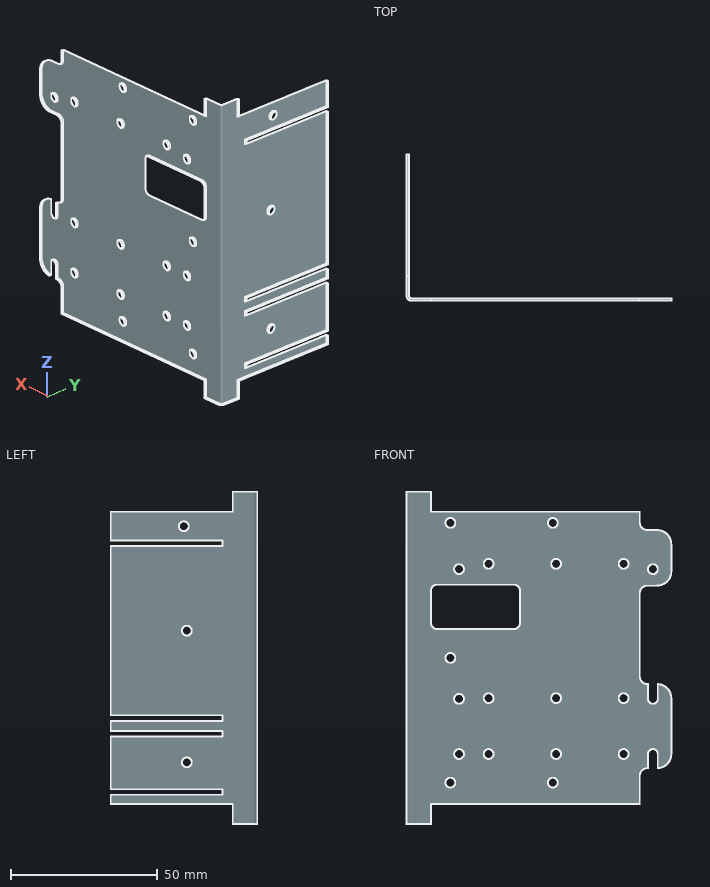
import cadquery as cq

width = 90.5
depth = 50.0
height = 113.5
thickness = 0.9
inner_bend_radius = 0.7
outer_bend_radius = inner_bend_radius + thickness

end_margin = 6.8
strip_width = 8.4
body_bottom = end_margin
body_top = height - end_margin

body_edge = 79.7
tab_corner_radius = 5.0
tab_root_radius = 2.5
upper_tab_bottom = 81.4
upper_tab_top = 100.5
lower_tab_bottom = 19.1
lower_tab_top = 47.9

hole_diameter = 3.3
outer_column = 15.0
outer_second_column = 49.9
outer_low_row = 14.2
outer_middle_row = 56.8
outer_high_row = 102.8

grid_start = 28.0
grid_pitch = 23.0
grid_columns = [grid_start + i * grid_pitch for i in range(3)]
grid_rows = [24.0, 43.0, 88.9]

mount_column = 17.9
tab_column = 84.1
mount_low_row = 24.0
mount_middle_row = 42.8
mount_high_row = 87.0

window_width = 30.3
window_height = 15.1
window_bottom = 66.6
window_radius = 2.0

cut_width = 1.8
cut_end = 11.9
cut_heights = [11.0, 30.9, 36.2, 95.9]
side_holes = [(24.1, 21.1), (24.1, 66.1), (25.1, 101.7)]


def box(x_min, x_max, y_min, y_max, z_min, z_max):
    """Axis-aligned box between the given limits."""
    size = (x_max - x_min, y_max - y_min, z_max - z_min)
    return cq.Workplane("XY").box(*size, centered=False).translate((x_min, y_min, z_min))


def bent_sheet():
    """Full-height L section with a rounded bend."""
    wide_plate = box(0, width, 0, thickness, 0, height)
    narrow_plate = box(0, thickness, 0, depth, 0, height)
    sheet = wide_plate.union(narrow_plate)
    sheet = sheet.edges(cq.selectors.NearestToPointSelector((0, 0, height / 2))).fillet(outer_bend_radius)
    inner_corner = (thickness, thickness, height / 2)
    return sheet.edges(cq.selectors.NearestToPointSelector(inner_corner)).fillet(inner_bend_radius)


def tab(z_min, z_max):
    """Tab with round outer corners, overlapping the wide plate."""
    blank = box(body_edge - strip_width, width, 0, thickness, z_min, z_max)
    return blank.edges("|Y and >X").fillet(tab_corner_radius)


def outline_envelope():
    """Solid whose intersection with the bent sheet gives the plate outlines."""
    strip = box(0, strip_width, 0, strip_width, 0, height)
    wide_body = box(0, body_edge, 0, thickness, body_bottom, body_top)
    narrow_body = box(0, thickness, 0, depth, body_bottom, body_top)
    wide_plate = wide_body.union(tab(upper_tab_bottom, upper_tab_top))
    wide_plate = wide_plate.union(tab(lower_tab_bottom, lower_tab_top))
    for root_height in (lower_tab_bottom, lower_tab_top, upper_tab_bottom, upper_tab_top):
        root = (body_edge, thickness / 2, root_height)
        wide_plate = wide_plate.edges(cq.selectors.NearestToPointSelector(root)).fillet(tab_root_radius)
    return strip.union(wide_plate).union(narrow_body)


def wide_plate_holes():
    """Round holes through the wide plate along Y."""
    points = [(outer_column, outer_middle_row)]
    points += [(x, z) for x in (outer_column, outer_second_column) for z in (outer_low_row, outer_high_row)]
    points += [(x, z) for x in grid_columns for z in grid_rows]
    points += [(mount_column, z) for z in (mount_low_row, mount_middle_row, mount_high_row)]
    points.append((tab_column, mount_high_row))
    return cq.Workplane("XZ").pushPoints(points).circle(hole_diameter / 2).extrude(-thickness)


def tab_slot(center_z, open_end_z):
    """Round-ended slot running from center_z out through the tab edge."""
    x_min = tab_column - hole_diameter / 2
    x_max = tab_column + hole_diameter / 2
    z_min, z_max = sorted((center_z, open_end_z))
    slot = box(x_min, x_max, 0, thickness, z_min, z_max)
    round_end = cq.Workplane("XZ").center(tab_column, center_z).circle(hole_diameter / 2).extrude(-thickness)
    return slot.union(round_end)


def window():
    """Rounded rectangular opening starting at the edge of the strip."""
    window_top = window_bottom + window_height
    opening = box(strip_width, strip_width + window_width, 0, thickness, window_bottom, window_top)
    return opening.edges("|Y").fillet(window_radius)


def side_cut(center_z):
    """Slot from the free edge of the narrow plate toward the bend."""
    return box(0, thickness, cut_end, depth, center_z - cut_width / 2, center_z + cut_width / 2)


result = bent_sheet().intersect(outline_envelope())
result = result.cut(wide_plate_holes()).cut(window())
result = result.cut(tab_slot(mount_low_row, lower_tab_bottom))
result = result.cut(tab_slot(mount_middle_row, lower_tab_top))
for cut_height in cut_heights:
    result = result.cut(side_cut(cut_height))
result = result.cut(cq.Workplane("YZ").pushPoints(side_holes).circle(hole_diameter / 2).extrude(thickness))